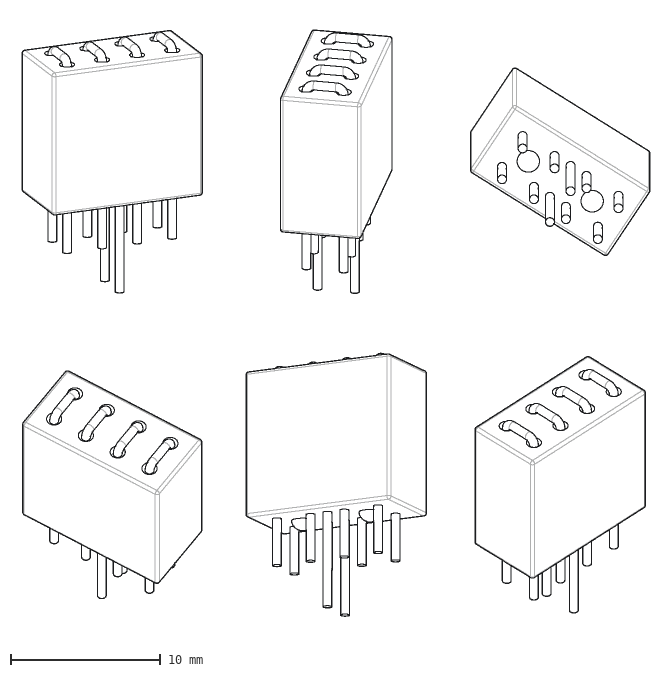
import cadquery as cq

HOUSING_WIDTH = 5.5
HOUSING_LENGTH = 10.88
HOUSING_HEIGHT = 10.01
EDGE_RADIUS = 0.2

WIRE_DIAMETER = 0.6
WIRE_RADIUS = WIRE_DIAMETER / 2

LOOP_COUNT = 4
LOOP_ROW_LENGTH = 7.61
PITCH = LOOP_ROW_LENGTH / (LOOP_COUNT - 1)
LEG_X = PITCH / 2
LOOP_RISE = 0.6
BEND_RADIUS = 0.51
LEG_LENGTH_BELOW = 3.22
BRIDGE_Z = HOUSING_HEIGHT + LOOP_RISE - WIRE_RADIUS
LOOP_YS = [i * PITCH - LOOP_ROW_LENGTH / 2 for i in range(LOOP_COUNT)]

SINK_DIAMETER = 1.01
SINK_ANGLE = 90

TOTAL_HEIGHT = 17.11
PIN_LENGTH = TOTAL_HEIGHT - HOUSING_HEIGHT - LOOP_RISE

FOOT_RADIUS = 0.75
FOOT_DROP = 0.65
FOOT_Y = PITCH


def leg_points():
    """Centres of all the loop legs, in the XY plane."""
    return [(x, y) for y in LOOP_YS for x in (-LEG_X, LEG_X)]


def make_housing():
    """Rounded block with two feet and a countersunk through hole for every loop leg."""
    housing = (
        cq.Workplane("XY")
        .box(HOUSING_WIDTH, HOUSING_LENGTH, HOUSING_HEIGHT, centered=(True, True, False))
        .edges()
        .fillet(EDGE_RADIUS)
    )
    for y in (-FOOT_Y, FOOT_Y):
        foot = cq.Workplane("XY").sphere(FOOT_RADIUS).translate((0, y, FOOT_RADIUS - FOOT_DROP))
        housing = housing.union(foot)
    return (
        housing.faces(">Z")
        .workplane(origin=(0, 0, HOUSING_HEIGHT))
        .pushPoints(leg_points())
        .cskHole(WIRE_DIAMETER, SINK_DIAMETER, SINK_ANGLE)
    )


def make_loop(y):
    """One wire bent into a U, swept along its centre line in the plane of constant Y."""
    bend_z = BRIDGE_Z - BEND_RADIUS
    bridge_x = LEG_X - BEND_RADIUS
    path = (
        cq.Workplane("XZ", origin=(0, y, 0))
        .moveTo(-LEG_X, -LEG_LENGTH_BELOW)
        .lineTo(-LEG_X, bend_z)
        .radiusArc((-bridge_x, BRIDGE_Z), BEND_RADIUS)
        .lineTo(bridge_x, BRIDGE_Z)
        .radiusArc((LEG_X, bend_z), BEND_RADIUS)
        .lineTo(LEG_X, -LEG_LENGTH_BELOW)
    )
    return (
        cq.Workplane("XY", origin=(-LEG_X, y, -LEG_LENGTH_BELOW))
        .circle(WIRE_RADIUS)
        .sweep(path)
    )


def make_pin(x):
    """One straight pin butting against the bottom face of the housing."""
    return cq.Workplane("XY").center(x, 0).circle(WIRE_RADIUS).extrude(-PIN_LENGTH)


housing = make_housing()
loops = [make_loop(y) for y in LOOP_YS]
pins = [make_pin(x) for x in (-LEG_X, LEG_X)]

result = cq.Compound.makeCompound([
    housing.val(),
    *[loop.val() for loop in loops],
    *[pin.val() for pin in pins],
])